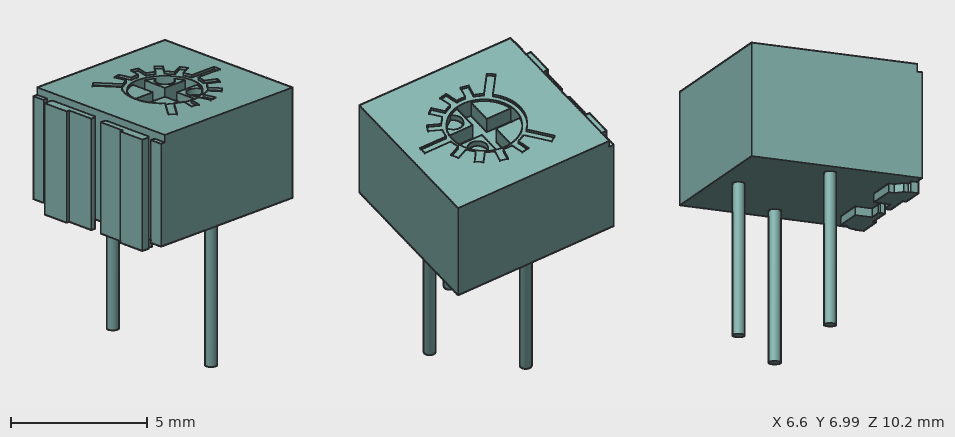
import cadquery as cq

body_side = 6.6
body_height = 4.35
total_height = 10.16
half_side = body_side / 2

rib_top_drop = 0.29
corner_rib_width = 0.53
corner_rib_depth = 0.19

clip_outer_x = 2.53
clip_inner_x = 0.24
clip_step_x = (clip_outer_x + clip_inner_x) / 2
clip_thick_depth = 0.39
clip_thin_depth = 0.25
clip_overhang = 0.34
clip_root_chamfer = 0.06
clip_tongue_inset = 0.61
clip_taper_start = 0.18
clip_taper = 0.26
clip_reach = 0.67

rotor_diameter = 2.77
rotor_drop = 0.19
slot_width = 0.62
slot_depth = 0.66
stop_hole_diameter = 0.76
stop_hole_offset = 0.82
stop_hole_depth = 0.24
dial_diameter = 3.14
dial_depth = 0.1
mark_width = 0.33
short_mark_reach = 2.09
middle_mark_reach = 2.7
end_mark_reach = 2.65
marks_per_turn = 14
mark_angle = 360 / marks_per_turn
last_mark = 5

pin_diameter = 0.46
pin_pitch = 2.54
outer_pin_y = -0.15


def make_body():
    """Plain housing block."""
    return cq.Workplane("XY").rect(body_side, body_side).extrude(-body_height)


def make_corner_rib():
    """Shallow strip down the left edge of the front face."""
    return (
        cq.Workplane("XY")
        .workplane(offset=-body_height)
        .moveTo(-half_side, -half_side)
        .rect(corner_rib_width, -corner_rib_depth, centered=False)
        .extrude(body_height - rib_top_drop)
    )


def make_clip():
    """Left stepped clip: a plate with a chamfered root and a tapering tongue behind it."""
    face_y = -half_side
    root_y = face_y - clip_root_chamfer
    root_outer_x = -clip_outer_x + clip_root_chamfer
    root_inner_x = -clip_inner_x - clip_root_chamfer
    tongue_inner_x = -clip_inner_x - clip_tongue_inset
    tongue_outer_x = root_outer_x + clip_taper
    outline = [
        (-clip_outer_x, face_y - clip_thick_depth),
        (-clip_step_x, face_y - clip_thick_depth),
        (-clip_step_x, face_y - clip_thin_depth),
        (-clip_inner_x, face_y - clip_thin_depth),
        (-clip_inner_x, root_y),
        (root_inner_x, face_y),
        (tongue_inner_x, face_y),
        (tongue_inner_x, face_y + clip_reach),
        (tongue_outer_x, face_y + clip_reach),
        (tongue_outer_x, face_y + clip_taper_start + clip_taper),
        (root_outer_x, face_y + clip_taper_start),
        (root_outer_x, face_y),
        (-clip_outer_x, root_y),
    ]
    bottom_z = -body_height - clip_overhang
    return (
        cq.Workplane("XY")
        .workplane(offset=bottom_z)
        .polyline(outline)
        .close()
        .extrude(-rib_top_drop - bottom_z)
    )


def make_dial():
    """Shallow recess: a disc with radial marks, with the middle and end marks long."""
    dial = cq.Workplane("XY").circle(dial_diameter / 2).extrude(-dial_depth)
    for step in range(-last_mark, last_mark + 1):
        if step == 0:
            reach = middle_mark_reach
        elif abs(step) == last_mark:
            reach = end_mark_reach
        else:
            reach = short_mark_reach
        mark = (
            cq.Workplane("XY")
            .center(0, reach / 2)
            .rect(mark_width, reach)
            .extrude(-dial_depth)
            .rotate((0, 0, 0), (0, 0, 1), step * mark_angle)
        )
        dial = dial.union(mark)
    return dial


def make_rotor_recess():
    """Round well, deepened by a cross slot and by two stop holes, all inside the rotor circle."""
    floor_depth = rotor_drop + slot_depth
    cross = (
        cq.Workplane("XY").rect(slot_width, rotor_diameter).extrude(-floor_depth)
        .union(cq.Workplane("XY").rect(rotor_diameter, slot_width).extrude(-floor_depth))
    )
    holes = (
        cq.Workplane("XY")
        .pushPoints([(-stop_hole_offset, stop_hole_offset), (stop_hole_offset, stop_hole_offset)])
        .circle(stop_hole_diameter / 2)
        .extrude(-rotor_drop - stop_hole_depth)
    )
    well = cq.Workplane("XY").circle(rotor_diameter / 2).extrude(-rotor_drop)
    limit = cq.Workplane("XY").circle(rotor_diameter / 2).extrude(-floor_depth)
    return well.union(cross.union(holes).intersect(limit))


def make_pins():
    """Three round pins: two in line and the middle one set back by a pitch."""
    return (
        cq.Workplane("XY")
        .workplane(offset=-body_height)
        .pushPoints([(-pin_pitch, outer_pin_y), (0, outer_pin_y + pin_pitch), (pin_pitch, outer_pin_y)])
        .circle(pin_diameter / 2)
        .extrude(body_height - total_height)
    )


front_relief = make_corner_rib().union(make_clip())
result = (
    make_body()
    .union(front_relief)
    .union(front_relief.mirror("YZ"))
    .union(make_pins())
    .cut(make_dial())
    .cut(make_rotor_recess())
)